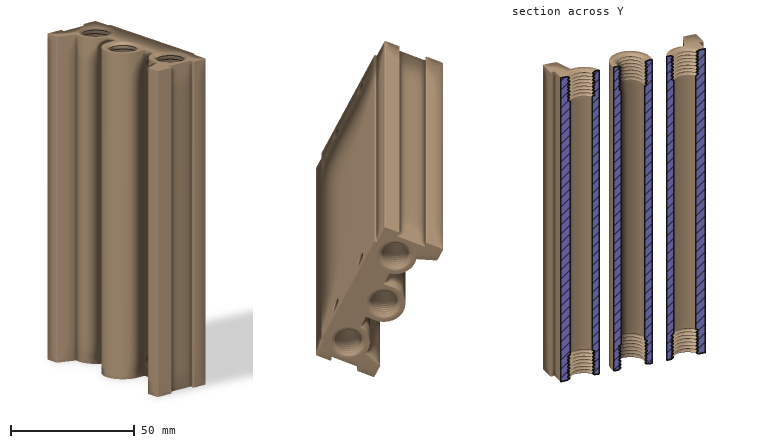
import cadquery as cq
import math

length = 138.5
width = 68.0
height = 27.0
back_y = height / 2
half_width = width / 2

strip_half_width = 26.0
strip_step = 1.0

tube_radius = 8.7
side_port_x = 23.0
side_port_y = back_y - 10.5
centre_port_y = back_y - 15.9
web_y = back_y - 11.9
port_centres = [(-side_port_x, side_port_y), (0, centre_port_y), (side_port_x, side_port_y)]

groove_depth = 2.0
groove_mouth_top = back_y - 7.9
groove_mouth_bottom = back_y - 19.1
groove_undercut = 0.7

side_round = 0.4

leg_foot_width = 6.0
leg_angle = 20.0
leg_inner_round = 0.7

bore_radius = 5.7
mouth_radius = 7.3
thread_root_radius = 6.6
mouth_chamfer_depth = 0.1
thread_pitch = 1.5
thread_count = 8

cross_hole_diameter = 5.4
cross_hole_x = 12.0
cross_hole_end_gap = 6.2


def web_and_legs():
    """Extrude the outline without the tubes; the left half is mirrored to give the right one."""
    foot_inner_x = -half_width + leg_foot_width
    leg_top_x = foot_inner_x + (side_port_y + back_y) * math.tan(math.radians(leg_angle))
    groove_floor_x = -half_width + groove_depth
    half = (
        cq.Workplane("XY")
        .moveTo(0, back_y)
        .lineTo(-strip_half_width, back_y)
        .lineTo(-strip_half_width, back_y - strip_step)
        .lineTo(-half_width, back_y - strip_step)
        .lineTo(-half_width, groove_mouth_top)
        .lineTo(groove_floor_x, groove_mouth_top + groove_undercut)
        .lineTo(groove_floor_x, groove_mouth_bottom - groove_undercut)
        .lineTo(-half_width, groove_mouth_bottom)
        .lineTo(-half_width, -back_y)
        .lineTo(foot_inner_x, -back_y)
        .lineTo(leg_top_x, side_port_y)
        .lineTo(leg_top_x, web_y)
        .lineTo(0, web_y)
        .close()
        .extrude(length)
    )
    rounds = [(foot_inner_x, -back_y, leg_inner_round)]
    for side_corner_y in (back_y - strip_step, groove_mouth_top, groove_mouth_bottom, -back_y):
        rounds.append((-half_width, side_corner_y, side_round))
    for corner_x, corner_y, radius in rounds:
        corner = (corner_x, corner_y, length / 2)
        half = half.edges(cq.selectors.NearestToPointSelector(corner)).fillet(radius)
    return half.union(half.mirror("YZ"))


def tubes():
    """Round tube walls, with the centre one joined to the web by straight flanks."""
    walls = cq.Workplane("XY").pushPoints(port_centres).circle(tube_radius).extrude(length)
    neck_height = web_y - centre_port_y
    neck = (
        cq.Workplane("XY")
        .center(0, centre_port_y + neck_height / 2)
        .rect(2 * tube_radius, neck_height)
        .extrude(length)
    )
    return walls.union(neck)


def port_cutter():
    """Through bore with a chamfered mouth and thread rings at each end."""
    points = [(0, 0), (mouth_radius, 0)]
    for ring in range(thread_count):
        root_depth = mouth_chamfer_depth + ring * thread_pitch
        points.append((thread_root_radius, root_depth))
        points.append((bore_radius, root_depth + thread_pitch / 2))
    thread_end = root_depth + thread_pitch / 2
    points.append((0, thread_end))
    thread = cq.Workplane("XZ").polyline(points).close().revolve(360, (0, 0), (0, 1))
    bore = cq.Workplane("XY").circle(bore_radius).extrude(length)
    far_thread = thread.mirror("XY").translate((0, 0, length))
    return bore.union(thread).union(far_thread)


def cross_holes():
    hole_places = [
        (x, z)
        for x in (-cross_hole_x, cross_hole_x)
        for z in (cross_hole_end_gap, length - cross_hole_end_gap)
    ]
    return (
        cq.Workplane("XZ")
        .pushPoints(hole_places)
        .circle(cross_hole_diameter / 2)
        .extrude(height, both=True)
    )


body = web_and_legs().union(tubes())
cutter = port_cutter()
for x, y in port_centres:
    body = body.cut(cutter.translate((x, y, 0)))
result = body.cut(cross_holes())